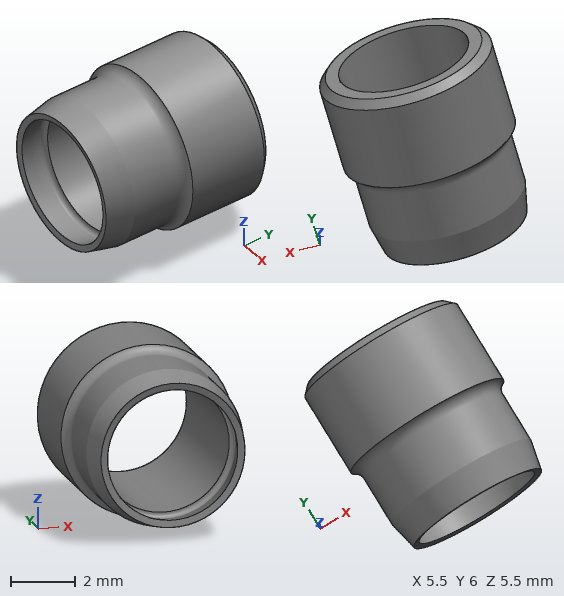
import cadquery as cq
import math

length = 6.0
body_diameter = 5.5
body_radius = body_diameter / 2
neck_radius = 2.5
tip_radius = 2.3
bore_radius = 2.075
body_length = 3.0
end_chamfer = 0.25
shoulder_radius = 0.4
taper_length = 0.94

undercut_depth = 0.85
undercut_round = 0.15

shoulder_y = length - body_length
step = body_radius - neck_radius
shoulder_length = math.sqrt(shoulder_radius**2 - (shoulder_radius - step) ** 2)
neck_end_y = shoulder_y - shoulder_length

taper_slope = (neck_radius - tip_radius) / taper_length
taper_angle = math.atan(taper_slope)
tip_inner_y = (tip_radius - bore_radius) * taper_slope
undercut_radius = bore_radius + (undercut_depth - tip_inner_y) * taper_slope

round_center_radius = undercut_radius - undercut_round * math.cos(taper_angle)
round_center_y = undercut_depth + undercut_round * math.sin(taper_angle)
ledge_y = round_center_y + undercut_round
round_middle_angle = (math.pi / 2 - taper_angle) / 2
round_middle = (
    round_center_radius + undercut_round * math.cos(round_middle_angle),
    round_center_y + undercut_round * math.sin(round_middle_angle),
)


def make_sleeve():
    """Revolve the wall section, drawn as (radius, y), about the Y axis."""
    section = (
        cq.Workplane("XY")
        .moveTo(bore_radius, tip_inner_y)
        .lineTo(tip_radius, 0)
        .lineTo(neck_radius, taper_length)
        .lineTo(neck_radius, neck_end_y)
        .radiusArc((body_radius, shoulder_y), shoulder_radius)
        .lineTo(body_radius, length - end_chamfer)
        .lineTo(body_radius - end_chamfer, length)
        .lineTo(bore_radius, length)
        .lineTo(bore_radius, ledge_y)
        .lineTo(round_center_radius, ledge_y)
        .threePointArc(round_middle, (undercut_radius, undercut_depth))
        .close()
    )
    return section.revolve(360, (0, 0), (0, 1))


result = make_sleeve()